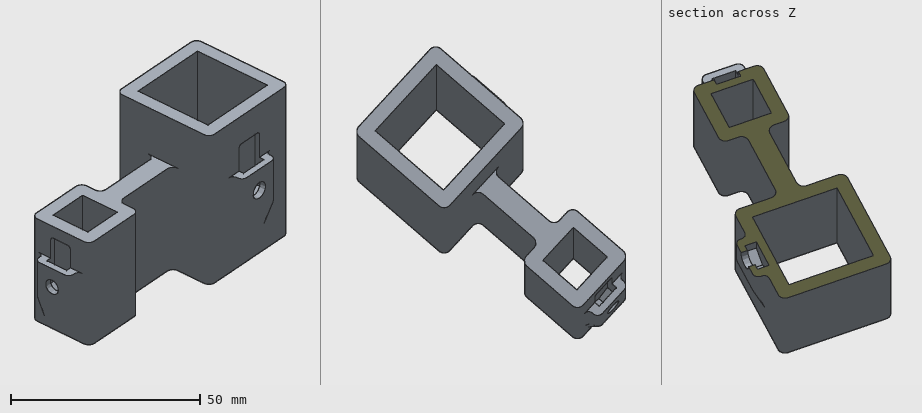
import cadquery as cq
import math

wall = 4.0
large_side = 32.3
small_side = 20.1
large_height = 48.0
small_height = 33.0
sleeve_gap = 21.75
web_width = 6.2
corner_radius = 2.0
large_face = large_side / 2
small_y = -(large_side + small_side) / 2 - sleeve_gap

clip_depth = 3.5
clip_round = 1.7
clip_root = 1.5
taper_height = 9.4
small_clip_width = 11.95
small_clip_top = 22.4
small_clip_bend = 10.6
large_clip_width = 13.6
large_clip_top = 30.75
large_clip_bend = 17.1

slot_outward = 1.55
slot_inward = 1.6
slot_corner = 1.0
slot_floor_angle = 30
small_slot_width = 6.8
small_hole = 4.35
large_slot_width = 8.3
large_hole = 5.0

tolerance = 0.01
overlap = 0.8


def sleeve(side, height):
    """Upright square block with rounded corners."""
    return cq.Workplane("XY").rect(side, side).extrude(height).edges("|Z").fillet(corner_radius)


def bore(side, height):
    """Square opening that leaves the common wall around it."""
    inner = side - 2 * wall
    return cq.Workplane("XY").rect(inner, inner).extrude(height)


def web():
    """Web between the sleeves with concave roots at both ends."""
    near = -large_face
    far = near - sleeve_gap
    half = web_width / 2
    r = corner_radius
    outline = (
        cq.Workplane("XY")
        .moveTo(-half - r, near + overlap)
        .lineTo(half + r, near + overlap)
        .lineTo(half + r, near)
        .radiusArc((half, near - r), -r)
        .lineTo(half, far + r)
        .radiusArc((half + r, far), -r)
        .lineTo(half + r, far - overlap)
        .lineTo(-half - r, far - overlap)
        .lineTo(-half - r, far)
        .radiusArc((-half, far + r), -r)
        .lineTo(-half, near - r)
        .radiusArc((-half - r, near), -r)
        .close()
    )
    return outline.extrude(small_height)


def clip_housing(width, top, bend):
    """Housing on the plane Y = 0, standing out towards -Y and tapering back at its lower end."""
    side_outline = [(0, top), (-clip_depth, top), (-clip_depth, bend), (0, bend - taper_height)]
    body = cq.Workplane("YZ").polyline(side_outline).close().extrude(width / 2, both=True)
    bend_edge = cq.NearestToPointSelector((0, -clip_depth, bend))
    body = body.edges(bend_edge).fillet(clip_round)
    front = body.faces("not(>Y or >Z or <X or >X)")
    return front.edges("not(|X)").fillet(clip_round)


def add_clip(block, width, top, bend):
    """Join a housing to the block whose front lies on Y = 0 and fillet its root below the top."""
    root_edges = cq.selectors.BoxSelector(
        (-width / 2 - tolerance, -tolerance, bend - taper_height - tolerance),
        (width / 2 + tolerance, tolerance, top - tolerance),
    )
    joined = block.union(clip_housing(width, top, bend))
    return joined.edges(root_edges).fillet(clip_root)


def clip_slot(width, top, bend, hole):
    """Slot with a V-shaped floor, plus the round hole through the housing front."""
    half = width / 2
    hole_z = (top + bend) / 2
    slot_top = top + width
    floor_corner = hole_z - hole / 2
    floor_drop = half * math.tan(math.radians(slot_floor_angle))
    slot = (
        cq.Workplane("XZ", origin=(0, slot_inward, 0))
        .moveTo(-half, slot_top)
        .lineTo(half, slot_top)
        .lineTo(half, floor_corner)
        .lineTo(0, floor_corner - floor_drop)
        .lineTo(-half, floor_corner)
        .close()
        .extrude(slot_inward + slot_outward)
    )
    slot = slot.edges("|Y and >Z").fillet(slot_corner)
    round_hole = cq.Workplane("XZ").center(0, hole_z).circle(hole / 2).extrude(clip_depth + overlap)
    return slot.union(round_hole)


def clip_sleeve(side, height, width, top, bend, slot_width, hole):
    """Sleeve with a clip in the middle of its -Y side, centred on the origin."""
    block = sleeve(side, height).translate((0, side / 2, 0))
    block = add_clip(block, width, top, bend)
    block = block.cut(clip_slot(slot_width, top, bend, hole))
    return block.translate((0, -side / 2, 0))


large = clip_sleeve(
    large_side,
    large_height,
    large_clip_width,
    large_clip_top,
    large_clip_bend,
    large_slot_width,
    large_hole,
)
large = large.rotate((0, 0, 0), (0, 0, 1), 90)
small = clip_sleeve(
    small_side,
    small_height,
    small_clip_width,
    small_clip_top,
    small_clip_bend,
    small_slot_width,
    small_hole,
)
small = small.translate((0, small_y, 0))

result = large.union(small).union(web())
result = result.cut(bore(large_side, large_height))
result = result.cut(bore(small_side, small_height).translate((0, small_y, 0)))